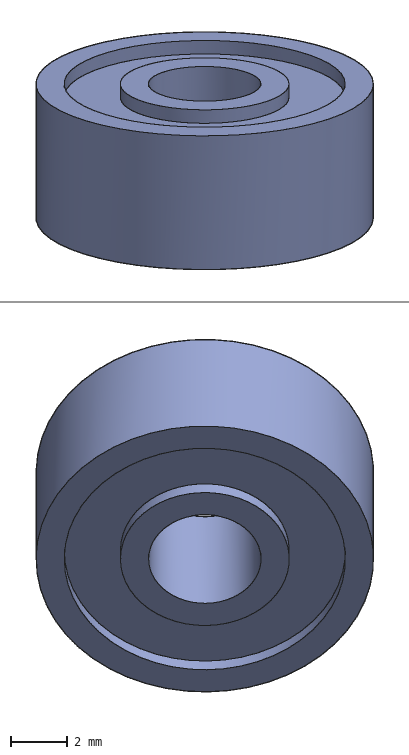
import cadquery as cq

outer_diameter = 12.0
width = 5.0
bore_diameter = 4.0
inner_ring_diameter = outer_diameter / 2
outer_ring_wall = (inner_ring_diameter - bore_diameter) / 2
shield_diameter = outer_diameter - 2 * outer_ring_wall
shield_recess = 0.5


def ring(outside, inside, height):
    """Flat ring centred on the origin, with its axis along Z."""
    return (
        cq.Workplane("XY", origin=(0, 0, -height / 2))
        .circle(outside / 2)
        .circle(inside / 2)
        .extrude(height)
    )


outer_ring = ring(outer_diameter, shield_diameter, width)
inner_ring = ring(inner_ring_diameter, bore_diameter, width)

shield = ring(shield_diameter, inner_ring_diameter, width - 2 * shield_recess)

result = outer_ring.union(shield).union(inner_ring)